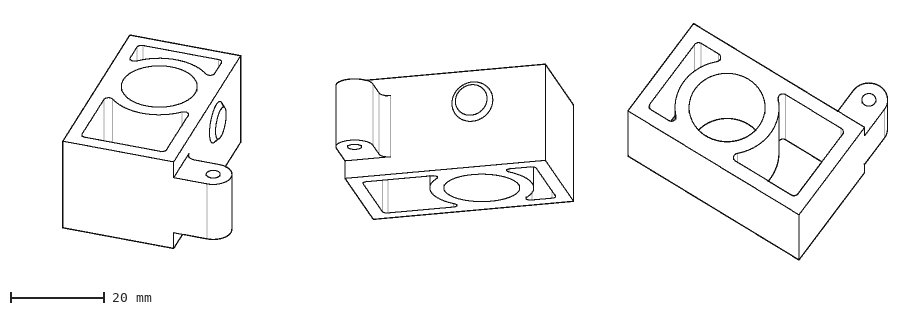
import cadquery as cq

block_width = 25.0
block_length = 44.0
block_height = 22.0
wall = 3.0
pocket_corner_radius = 1.0

bore_diameter = 16.2
ring_radius = bore_diameter / 2 + wall
bore_x = block_width / 2
bore_y = block_length - 2 * wall - ring_radius

lug_radius = 4.0
lug_reach = 7.52
lug_height = 14.0
lug_bottom = (block_height - lug_height) / 2
lug_fillet_radius = 2.0
pin_hole_diameter = 3.0
pin_x = block_width + lug_reach

button_base_radius = 4.5
button_height = 1.0
button_tip_radius = button_base_radius - button_height
button_y = 28.0
button_z = 14.9


def make_pockets():
    """Two through pockets inside the walls, separated by the bore ring."""
    window = cq.Workplane("XY").box(
        block_width - 2 * wall, block_length - 2 * wall, block_height, centered=False
    ).translate((wall, wall, 0))
    ring = cq.Workplane("XY").center(bore_x, bore_y).circle(ring_radius).extrude(block_height)
    return window.cut(ring).edges("|Z").fillet(pocket_corner_radius)


def make_lug():
    """Round-ended lug with its pin hole, flush with the -Y end of the block."""
    lug = (
        cq.Workplane("XY", origin=(0, 0, lug_bottom))
        .moveTo(block_width, 0)
        .lineTo(pin_x, 0)
        .threePointArc((pin_x + lug_radius, lug_radius), (pin_x, 2 * lug_radius))
        .lineTo(block_width + lug_fillet_radius, 2 * lug_radius)
        .radiusArc((block_width, 2 * lug_radius + lug_fillet_radius), lug_fillet_radius)
        .close()
        .extrude(lug_height)
    )
    pin_hole = (
        cq.Workplane("XY").center(pin_x, lug_radius).circle(pin_hole_diameter / 2).extrude(block_height)
    )
    return lug.cut(pin_hole)


def make_button():
    """Truncated cone standing on the +X face."""
    return cq.Workplane(
        cq.Solid.makeCone(
            button_base_radius,
            button_tip_radius,
            button_height,
            pnt=cq.Vector(block_width, button_y, button_z),
            dir=cq.Vector(1, 0, 0),
        )
    )


block = cq.Workplane("XY").box(block_width, block_length, block_height, centered=False)
bore = cq.Workplane("XY").center(bore_x, bore_y).circle(bore_diameter / 2).extrude(block_height)

result = block.cut(make_pockets()).cut(bore).union(make_lug()).union(make_button())